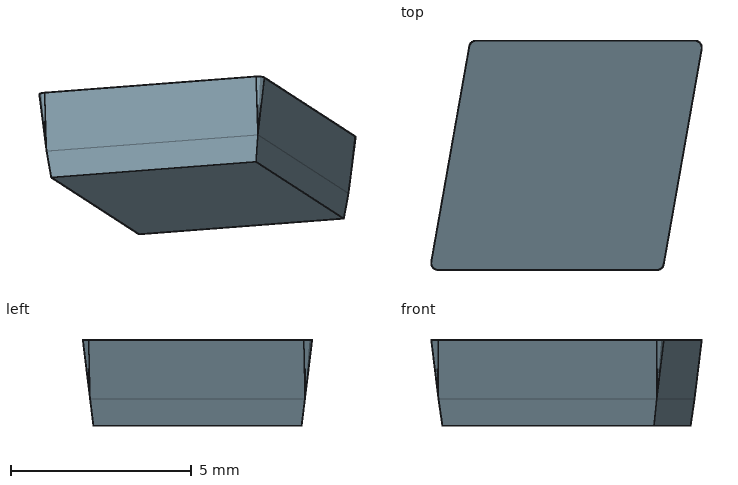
import cadquery as cq
import math

inscribed_circle = 6.35
thickness = 2.38
corner_angle = math.radians(80)
relief_angle = math.radians(7)
nose_radius = 0.2

nose_depth = nose_radius / math.tan(relief_angle)
base_height = thickness - nose_depth


def rhombus_corners(inset):
    """Corners of the sharp rhombus whose sides lie inset inside the top edges."""
    half_height = inscribed_circle / 2 - inset
    half_side = half_height / math.sin(corner_angle)
    lean = half_height / math.tan(corner_angle)
    return [
        (-half_side - lean, -half_height),
        (half_side - lean, -half_height),
        (half_side + lean, half_height),
        (-half_side + lean, half_height),
    ]


core_corners = rhombus_corners(nose_radius)


def core_outline():
    """Sharp rhombus at the depth where the nose radius vanishes."""
    return cq.Workplane("XY", origin=(0, 0, base_height)).polyline(core_corners).close()


def sharp_base():
    """Lower part: a rhombus with sharp corners that tapers downward."""
    return core_outline().extrude(-base_height, taper=math.degrees(relief_angle))


def upper_core():
    """Straight rhombus that runs through the corner cone axes."""
    return core_outline().extrude(nose_depth)


def flank_wedge(start, end):
    """Triangular wedge along one side of the core, carrying the sloping flank."""
    back_along = cq.Vector(start[0] - end[0], start[1] - end[1], 0)
    outward = cq.Vector(0, 0, 1).cross(back_along)
    section = cq.Plane(origin=(end[0], end[1], base_height), xDir=outward, normal=back_along)
    triangle = [(0, 0), (nose_radius, nose_depth), (0, nose_depth)]
    return cq.Workplane(section).polyline(triangle).close().extrude(back_along.Length)


def nose_cone(corner):
    """Vertical cone that stands on its point at a sharp corner of the base."""
    apex = cq.Vector(corner[0], corner[1], base_height)
    return cq.Workplane(cq.Solid.makeCone(0, nose_radius, nose_depth, pnt=apex))


def rounded_top():
    """Upper part: flared flanks that meet in conical noses."""
    body = upper_core()
    for index, corner in enumerate(core_corners):
        next_corner = core_corners[(index + 1) % len(core_corners)]
        body = body.union(flank_wedge(corner, next_corner))
    for corner in core_corners:
        body = body.union(nose_cone(corner))
    return body


joined = sharp_base().union(rounded_top(), clean=False)
result = joined.solids()